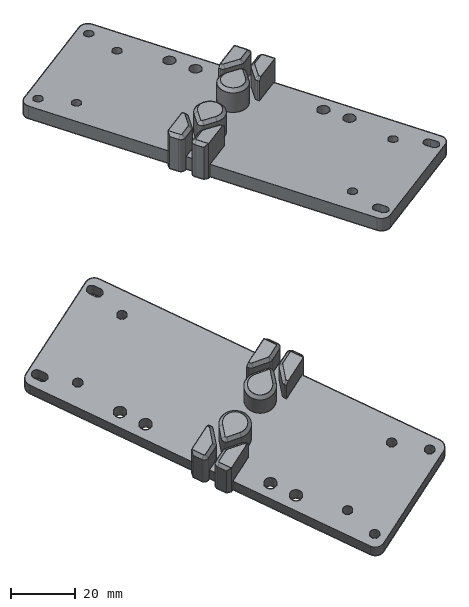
import cadquery as cq
import math

PLATE_LENGTH = 126.0
PLATE_WIDTH = 44.0
PLATE_THICKNESS = 5.0
PLATE_CORNER_RADIUS = 3.0

SMALL_HOLE_DIAMETER = 3.2
CORNER_SPACING_X = 117.9
CORNER_SPACING_Y = 34.9
SLOT_LENGTH = 5.3
INNER_SPACING_X = 95.0
INNER_SPACING_Y = 28.0
LARGE_HOLE_DIAMETER = 4.0
LARGE_HOLE_Y = 17.0
LARGE_HOLE_SPACINGS_X = (44.0, 62.0)

GUIDE_X = -4.5
GUIDE_TOP = 14.0
GUIDE_SPAN_Y = 48.0
EDGE_CHAMFER = 1.1

POST_RADIUS = 5.0
POST_Y = 8.0
POST_APEX_DISTANCE = 8.1
EDGE_ROUNDING = 1.5

JAW_WIDTH = 14.0
JAW_LENGTH = 12.0
CHANNEL_WIDTH = 2.5
POST_CLEARANCE = 1.9

JAW_OUTER_Y = GUIDE_SPAN_Y / 2
JAW_INNER_Y = JAW_OUTER_Y - JAW_LENGTH
FLANK_HALF_ANGLE = math.asin(POST_RADIUS / POST_APEX_DISTANCE)


def make_plate():
    plate = cq.Workplane("XY").box(
        PLATE_LENGTH, PLATE_WIDTH, PLATE_THICKNESS, centered=(True, True, False)
    )
    return plate.edges("|Z").fillet(PLATE_CORNER_RADIUS)


def make_hole_cutters():
    """Round through holes, with slots in place of holes at the two right-hand corners."""
    left_x = -CORNER_SPACING_X / 2
    right_x = CORNER_SPACING_X / 2
    small_points = []
    slot_points = []
    large_points = []
    for side in (-1, 1):
        small_points.append((left_x, side * CORNER_SPACING_Y / 2))
        slot_points.append((right_x, side * CORNER_SPACING_Y / 2))
        for end in (-1, 1):
            inner_x = end * INNER_SPACING_X / 2
            small_points.append((inner_x, side * INNER_SPACING_Y / 2))
        for spacing in LARGE_HOLE_SPACINGS_X:
            large_points.append((side * spacing / 2, LARGE_HOLE_Y))

    base = cq.Workplane("XY")
    small = base.pushPoints(small_points).circle(SMALL_HOLE_DIAMETER / 2).extrude(PLATE_THICKNESS)
    large = base.pushPoints(large_points).circle(LARGE_HOLE_DIAMETER / 2).extrude(PLATE_THICKNESS)
    slots = base.pushPoints(slot_points).slot2D(SLOT_LENGTH, SMALL_HOLE_DIAMETER)
    return small.union(large).union(slots.extrude(PLATE_THICKNESS))


def make_post():
    """Teardrop post with its rounded tip pointing toward +Y."""
    tangent_x = POST_RADIUS * math.cos(FLANK_HALF_ANGLE)
    tangent_y = POST_Y + POST_RADIUS * math.sin(FLANK_HALF_ANGLE)
    post = (
        cq.Workplane("XY")
        .moveTo(GUIDE_X + tangent_x, tangent_y)
        .lineTo(GUIDE_X, POST_Y + POST_APEX_DISTANCE)
        .lineTo(GUIDE_X - tangent_x, tangent_y)
        .threePointArc((GUIDE_X, POST_Y - POST_RADIUS), (GUIDE_X + tangent_x, tangent_y))
        .close()
        .extrude(GUIDE_TOP)
    )
    post = post.edges("|Z and >Y").fillet(EDGE_ROUNDING)
    return post.faces(">Z").edges().chamfer(EDGE_CHAMFER)


def make_jaw():
    """Jaw on the +X side of the channel, its inner face following the post flank."""
    outer_x = JAW_WIDTH / 2
    channel_x = CHANNEL_WIDTH / 2
    apex_y = POST_Y + (POST_RADIUS + POST_CLEARANCE) / math.sin(FLANK_HALF_ANGLE)
    throat_y = apex_y - channel_x / math.tan(FLANK_HALF_ANGLE)
    toe_x = (apex_y - JAW_INNER_Y) * math.tan(FLANK_HALF_ANGLE)

    jaw = (
        cq.Workplane("XY")
        .moveTo(outer_x, JAW_INNER_Y)
        .lineTo(outer_x, JAW_OUTER_Y)
        .lineTo(channel_x, JAW_OUTER_Y)
        .lineTo(channel_x, throat_y)
        .lineTo(toe_x, JAW_INNER_Y)
        .close()
        .extrude(GUIDE_TOP)
    )
    jaw = jaw.edges("|Z").edges("not >X").fillet(EDGE_ROUNDING)
    jaw = jaw.faces(">Z").edges("not >X").chamfer(EDGE_CHAMFER)

    bevel = (
        cq.Workplane("XY")
        .moveTo(outer_x, JAW_OUTER_Y)
        .lineTo(outer_x - EDGE_CHAMFER, JAW_OUTER_Y)
        .lineTo(outer_x, JAW_OUTER_Y - EDGE_CHAMFER)
        .close()
        .extrude(GUIDE_TOP)
    )
    return jaw.cut(bevel)


def make_guide():
    jaw = make_jaw()
    jaws = jaw.union(jaw.mirror("YZ")).translate((GUIDE_X, 0, 0))
    return make_post().union(jaws)


guide = make_guide()
result = make_plate().cut(make_hole_cutters()).union(guide).union(guide.mirror("XZ"))